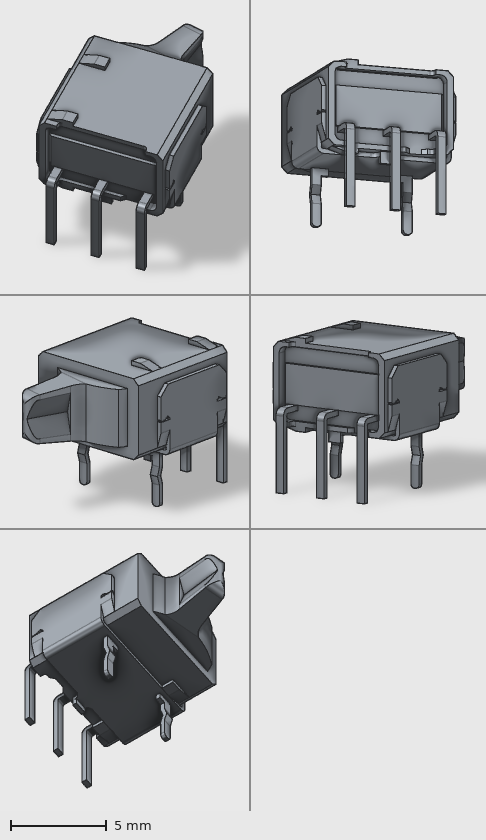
import cadquery as cq
import math


frame_width = 6.99
frame_length = 6.99
frame_height = 4.5
frame_chamfer = 0.32
frame_side_wall = 0.37
frame_top_wall = 0.25
frame_bottom_wall = 0.28
opening_radius = 0.37
half_frame = frame_width / 2
chamfer_start = half_frame - frame_chamfer

setback_depth = 0.33
setback_width = 4.99
setback_radius = 0.18

insert_face_y = 0.55
block_face_y = 0.35
block_bottom = 1.14
block_height = 2.16
block_taper = 0.17
insert_gap_height = 0.07
insert_gap_depth = 0.12

key_center_x = 1.56
key_width = 0.67
key_chamfer = 0.26

terminal_pitch = 2.54
terminal_width = 0.47
terminal_thickness = 0.3
terminal_bend_radius = 0.39
terminal_top = 1.12
terminal_reach = 0.8
foot_z = -3.4

pivot_y = 5.7
lever_tilt = 13.5
lever_center_z = frame_height / 2
lever_base_width = 3.21
lever_tip_width = 2.71
rocker_half_width = 3.15
rocker_edge = (2.84, 1.09)
rocker_arc_point = (2.22, 1.524)
rocker_end = (1.15, 1.99)
root_arc_point = (0.92, 2.27)
handle_root = (0.78, 2.71)
handle_tip = (0.59, 4.53)
lever_tip_radius = 0.58
groove_root_half_height = 1.15
groove_tip_half_height = 1.06
groove_depth = 0.35
groove_overrun = 0.12

sheet = 0.25
bend_radius = 0.12
bracket_front_y = 0.33
bracket_length = 5.16
bracket_top = 3.78
bracket_corner = 0.58
half_bracket = half_frame + sheet
bracket_middle_y = bracket_front_y + bracket_length / 2

lance_width = 0.7
lance_ramp = 0.87
lance_length = 1.47
relief_corner = 0.12
relief_low = (0.09, 0.02)
relief_middle = (0.3, 0.05)
relief_high = (0.58, 0.21)
relief_end = 0.08

plate_front_y = bracket_front_y + lance_width
plate_back_y = bracket_front_y + bracket_length - lance_width
leg_width = 0.52
leg_front_y = 4.29
leg_tip_radius = 0.23
kink_top = -1.15
kink_middle = -1.66
kink_bottom = -2.16
kink_offset = 0.15
shoulder_width = 0.92
shoulder_bottom = -0.64
tab_width = 0.76
tab_front_y = 0.55
tab_thickness = 0.23
tab_fillet = 0.35


def box(x_min, x_max, y_min, y_max, z_min, z_max):
    """Block between two opposite corners."""
    size = (x_max - x_min, y_max - y_min, z_max - z_min)
    return cq.Workplane("XY").box(*size, centered=False).translate((x_min, y_min, z_min))


def lance_tongue(y_start):
    """Ramp rising one sheet thickness along +X from the origin, then a flat stretch."""
    return (
        cq.Workplane("XZ")
        .polyline([(0, 0), (lance_ramp, sheet), (lance_length, sheet), (lance_length, 0)])
        .close()
        .extrude(-lance_width)
        .translate((0, y_start, 0))
    )


lance_places = [bracket_front_y, plate_back_y]



def make_frame():
    """Chamfered tube, with its top and bottom walls set back at the terminal end."""
    tube = (
        cq.Workplane("XY")
        .box(frame_width, frame_length, frame_height, centered=(True, False, False))
        .edges("|Y")
        .chamfer(frame_chamfer)
    )
    opening = box(
        frame_side_wall - half_frame, half_frame - frame_side_wall,
        0, frame_length,
        frame_bottom_wall, frame_height - frame_top_wall,
    ).edges("|Y").fillet(opening_radius)
    setback = (
        box(-setback_width / 2, setback_width / 2, 0, setback_depth, 0, frame_height)
        .edges("|Z and >Y")
        .fillet(setback_radius)
    )
    key_notch = (
        cq.Workplane("XY")
        .polyline([
            (key_center_x - key_width / 2 - key_chamfer, setback_depth),
            (key_center_x + key_width / 2 + key_chamfer, setback_depth),
            (key_center_x + key_width / 2, insert_face_y),
            (key_center_x - key_width / 2, insert_face_y),
        ])
        .close()
        .extrude(frame_bottom_wall)
    )
    return tube.cut(opening).cut(setback).cut(key_notch)


def make_insert():
    """Plastic filling of the frame, with a tapered block standing out at the terminal end."""
    half_insert = half_frame - frame_side_wall
    filling = box(
        -half_insert, half_insert,
        insert_face_y, frame_length,
        frame_bottom_wall, frame_height - frame_top_wall,
    ).edges("|Y").fillet(opening_radius)
    block = (
        cq.Workplane("XY")
        .polyline([
            (block_taper - half_insert, block_face_y),
            (half_insert - block_taper, block_face_y),
            (half_insert, insert_face_y),
            (-half_insert, insert_face_y),
        ])
        .close()
        .extrude(block_height)
        .translate((0, 0, block_bottom))
    )
    half_gap = half_insert - opening_radius
    gap_top = frame_height - frame_top_wall
    gap = box(
        -half_gap, half_gap,
        insert_face_y, insert_face_y + insert_gap_depth,
        gap_top - insert_gap_height, gap_top,
    )
    return filling.union(block).cut(gap)


def make_terminal(x):
    """Flat strip leaving the insert and bent downwards."""
    inner_radius = terminal_bend_radius - terminal_thickness
    strip = (
        box(0, terminal_width, -terminal_reach, insert_face_y, foot_z, terminal_top)
        .edges("|X and <Y and >Z")
        .fillet(terminal_bend_radius)
    )
    space_below = (
        box(
            0, terminal_width,
            terminal_thickness - terminal_reach, insert_face_y,
            foot_z, terminal_top - terminal_thickness,
        )
        .edges("|X and <Y and >Z")
        .fillet(inner_radius)
    )
    return strip.cut(space_below).translate((x - terminal_width / 2, 0, 0))


def mirrored(point):
    return (-point[0], point[1])


def groove_section(plane, half_height):
    """V section pointing in -X, with its mouth carried a little way out of the flank."""
    return plane.polyline([
        (groove_overrun, -half_height),
        (groove_overrun, half_height),
        (0, half_height),
        (-groove_depth, 0),
        (0, -half_height),
    ]).close()


def make_lever():
    """Rocker with a tapered handle, built upright about its pivot and then tilted towards +X."""
    tip_v = handle_tip[1]
    end_v = tip_v + handle_tip[0]
    profile = (
        cq.Workplane("XY")
        .moveTo(-rocker_half_width, 0)
        .lineTo(rocker_half_width, 0)
        .lineTo(*rocker_edge)
        .threePointArc(rocker_arc_point, rocker_end)
        .threePointArc(root_arc_point, handle_root)
        .lineTo(*handle_tip)
        .threePointArc((0, end_v), mirrored(handle_tip))
        .lineTo(*mirrored(handle_root))
        .threePointArc(mirrored(root_arc_point), mirrored(rocker_end))
        .threePointArc(mirrored(rocker_arc_point), mirrored(rocker_edge))
        .close()
        .extrude(lever_base_width / 2, both=True)
    )
    half_base = lever_base_width / 2
    half_tip = lever_tip_width / 2
    corner_diagonal = lever_tip_radius * math.sqrt(0.5)
    corner_v = end_v - lever_tip_radius
    corner_z = half_tip - lever_tip_radius
    side_outline = (
        cq.Workplane("YZ")
        .moveTo(0, -half_base)
        .lineTo(rocker_end[1], -half_base)
        .lineTo(corner_v, -half_tip)
        .threePointArc((corner_v + corner_diagonal, -corner_z - corner_diagonal), (end_v, -corner_z))
        .lineTo(end_v, corner_z)
        .threePointArc((corner_v + corner_diagonal, corner_z + corner_diagonal), (corner_v, half_tip))
        .lineTo(rocker_end[1], half_base)
        .lineTo(0, half_base)
        .close()
        .extrude(rocker_half_width, both=True)
    )
    lever = profile.intersect(side_outline)
    flank_angle = math.degrees(math.atan2(handle_root[0] - handle_tip[0], tip_v - handle_root[1]))
    groove = (
        groove_section(cq.Workplane("XZ"), groove_root_half_height)
        .workplane(offset=handle_root[1] - end_v)
    )
    groove = (
        groove_section(groove, groove_tip_half_height)
        .loft(ruled=True)
        .rotate((0, 0, 0), (0, 0, 1), flank_angle)
        .translate((handle_root[0], handle_root[1], 0))
    )
    lever = lever.cut(groove).cut(groove.mirror("YZ"))
    lever = lever.rotate((0, 0, 0), (0, 0, 1), -lever_tilt).translate((0, pivot_y, lever_center_z))
    inside_switch = box(
        -frame_width, frame_width, -frame_length, frame_length, -frame_height, 2 * frame_height
    )
    return lever.cut(inside_switch)


def make_frame_lances():
    """Lances on the top and bottom walls, rising from the -X chamfers."""
    lances = cq.Workplane("XY")
    for y_start in lance_places:
        bottom_lance = lance_tongue(y_start).mirror("XY").translate((-chamfer_start, 0, 0))
        top_lance = lance_tongue(y_start).translate((-chamfer_start, 0, frame_height))
        lances = lances.add(bottom_lance).add(top_lance)
    return lances


def make_switch():
    switch = make_frame().union(make_insert())
    for index in (-1, 0, 1):
        switch = switch.union(make_terminal(index * terminal_pitch))
    switch = switch.union(make_lever())
    for lance in make_frame_lances().vals():
        switch = switch.union(cq.Workplane(lance))
    return switch



def make_channel():
    """U-shaped sheet below and beside the frame, with chamfered upper corners."""
    outside = (
        box(
            -half_bracket, half_bracket,
            bracket_front_y, bracket_front_y + bracket_length,
            -sheet, bracket_top,
        )
        .edges("|Y and <Z")
        .fillet(bend_radius + sheet)
        .edges("|X and >Z")
        .chamfer(bracket_corner)
    )
    inside = (
        box(-half_frame, half_frame, 0, frame_length, 0, frame_height)
        .edges("|Y and <Z")
        .fillet(bend_radius)
    )
    return outside.cut(inside)


def make_corner_cutout():
    """Cut across the lower front corner, ending in an uneven relief above the lances."""
    lance_end = frame_chamfer + lance_length
    inner_y = plate_front_y
    relief = [relief_low, relief_middle, relief_high]
    outline = [(bracket_front_y, -sheet), (bracket_front_y, lance_end + relief_corner)]
    outline += [(bracket_front_y + across, lance_end + up) for across, up in relief]
    outline += [(inner_y, lance_end + relief_end), (inner_y, -sheet)]
    return cq.Workplane("YZ").polyline(outline).close().extrude(half_bracket, both=True)


def make_side_lance(y_start):
    """Lance on the -X side, rising outwards from the lower frame chamfer."""
    return (
        lance_tongue(y_start)
        .rotate((0, 0, 0), (0, 1, 0), -90)
        .translate((-half_frame, 0, frame_chamfer))
    )


def make_leg(x):
    """Kinked leg with a rounded tip."""
    back_y = leg_front_y + sheet
    return (
        cq.Workplane("YZ")
        .polyline([
            (leg_front_y, 0),
            (leg_front_y, kink_top),
            (leg_front_y + kink_offset, kink_middle),
            (leg_front_y, kink_bottom),
            (leg_front_y, foot_z),
            (back_y, foot_z),
            (back_y, kink_bottom),
            (back_y + kink_offset, kink_middle),
            (back_y, kink_top),
            (back_y, 0),
        ])
        .close()
        .extrude(leg_width / 2, both=True)
        .edges("|Y and <Z")
        .fillet(leg_tip_radius)
        .translate((x, 0, 0))
    )


def make_shoulder():
    """Stop beside the top of the -X leg, reaching towards the middle."""
    outer_x = -terminal_pitch - leg_width / 2
    return box(
        outer_x, outer_x + shoulder_width, leg_front_y, leg_front_y + sheet, shoulder_bottom, 0
    )


def make_tab():
    """Locating tab on the front edge of the plate, with filleted roots, bent downwards."""
    half_tab = tab_width / 2
    half_root = half_tab + tab_fillet
    diagonal = tab_fillet * (1 - math.sqrt(0.5))
    root = (
        cq.Workplane("XY")
        .moveTo(-half_root, plate_front_y)
        .threePointArc(
            (-half_tab - diagonal, plate_front_y - diagonal), (-half_tab, plate_front_y - tab_fillet)
        )
        .lineTo(-half_tab, tab_front_y)
        .lineTo(half_tab, tab_front_y)
        .lineTo(half_tab, plate_front_y - tab_fillet)
        .threePointArc((half_tab + diagonal, plate_front_y - diagonal), (half_root, plate_front_y))
        .close()
        .extrude(-sheet)
    )
    blade = box(-half_tab, half_tab, tab_front_y, tab_front_y + tab_thickness, shoulder_bottom, 0)
    return root.union(blade)


def make_bracket():
    middle = (0, bracket_middle_y, 0)
    cutout = make_corner_cutout()
    bracket = make_channel().cut(cutout).cut(cutout.mirror("XZ", middle))
    for y_start in lance_places:
        lance = make_side_lance(y_start)
        bracket = bracket.union(lance).union(lance.mirror("YZ"))
    for x in (-terminal_pitch, terminal_pitch):
        bracket = bracket.union(make_leg(x))
    shoulder = make_shoulder()
    bracket = bracket.union(shoulder).union(shoulder.mirror("YZ"))
    return bracket.union(make_tab()).clean()


switch = make_switch()
bracket = make_bracket()

result = cq.Compound.makeCompound([switch.val(), bracket.val()])